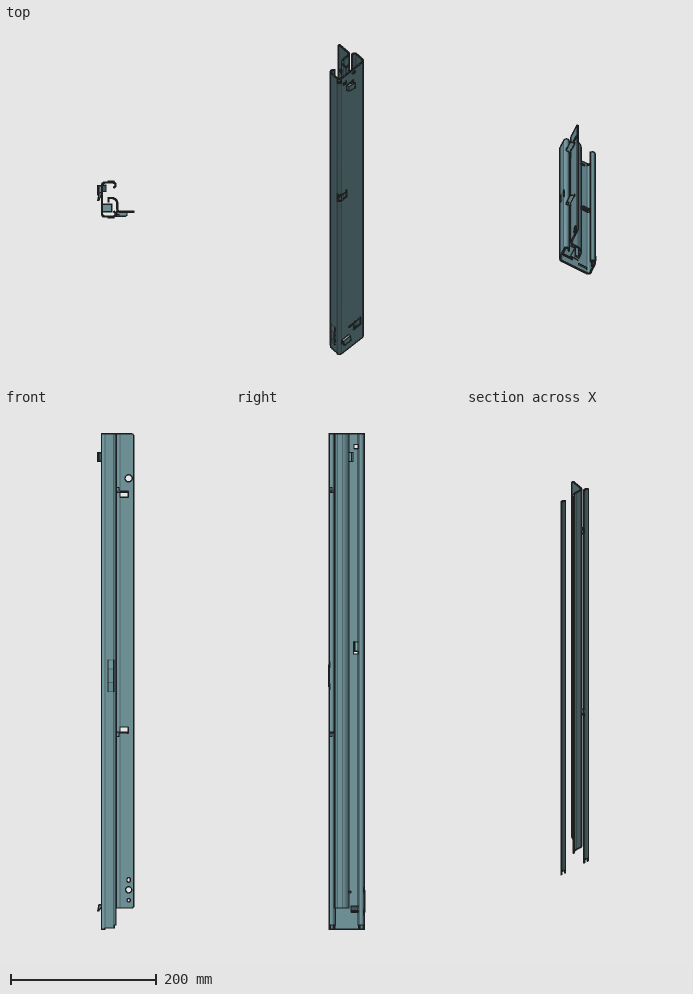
import cadquery as cq
import math

LENGTH = 680.0
SHEET = 1.7
EMBOSS = 1.0
TOTAL_DEPTH = 50.0
TOTAL_WIDTH = 49.5

HALF_DEPTH = TOTAL_DEPTH / 2 - EMBOSS
BEND = 5.0
LIP_BEND = 4.0
LIP_EDGE = 20.5
LIP_TURN = 135
LIP_LENGTH = 2.0
FLANGE_SETBACK = 2.0
LIP_STEP = 3.0
LIP_SETBACK = 6.0

BRIDGE_X = (9.0, 17.0)
BRIDGE_LENGTH = 43.5
BRIDGE_FLAT = 18.5
FRONT_BRIDGE_Z = 348.0
BACK_BRIDGE_Z = 39.0

HOOK_REACH = 5.1
UPPER_HOOK_Y = (-3.05, 10.0)
UPPER_HOOK_Z = (642.0, 654.0)
LOWER_HOOK_Y = (6.0, 19.0)
LOWER_HOOK_Z = (24.0, 34.0)

STOP_REACH = 14.0
STOP_Y = (-17.0, -6.0)
STOP_WINDOW_Y = (-17.0, -3.5)
STOP_WINDOW_Z = (36.0, 52.5)
STOP_SLIT_Y = (-3.5, 5.5)
STOP_SLIT_HEIGHT = 2.0
FLAP_REACH = 6.45
FLAP_DROP = 13.0
FLAP_Y = (11.0, 20.0)
FLAP_WINDOW_Y = (9.5, 24.5)
FLAP_WINDOW_Z = (378.0, 394.5)

WEB_HOLE = (-4.0, 672.0)
WEB_HOLE_DIAMETER = 5.5
SQUARE_HOLE = (13.0, 662.0)
SQUARE_HOLE_SIZE = 5.5
CORNER_SLOT_DEPTH = 5.0
CORNER_SLOT_Z = (670.0, 675.0)

BRACKET_BOTTOM = 29.0
WALL_X = 21.0
PLATE_Y = -18.0
PLATE_EDGE = TOTAL_WIDTH - HOOK_REACH
PLATE_CORNER = 3.5
RAIL_TOP = 3.05
RAIL_BEND = 9.0
RAIL_TIP_X = 9.0
RAIL_LEG = 6.0

HOLE_X = 37.5
LARGE_HOLES = ((619.0, 9.5), (54.5, 8.0))
SMALL_HOLE = (40.0, 4.4)
SLOT_Z = 68.0
SLOT_LENGTH = 6.45
SLOT_WIDTH = 4.0

OPENING_EDGE = 37.0
OPENING_HEIGHT = 8.0
UPPER_TAB_Z = 601.0
LOWER_TAB_Z = 269.0
TAB_X = (21.0, 35.5)
TAB_EDGE_Y = -23.0
TAB_CORNER = 2.0
EAR_HEIGHT = 5.0
EAR_WIDTH = 3.5
EAR_DEPTH = 3.0


def block(x_range, y_range, z_range):
    """Box between two limits along each axis."""
    limits = (x_range, y_range, z_range)
    sizes = [high - low for low, high in limits]
    return cq.Workplane().box(*sizes, centered=False).translate(tuple(low for low, high in limits))


def web_cut(y_range, z_range):
    """Cutter for a rectangular window through the web only."""
    return block((-SHEET, 2 * SHEET), y_range, z_range)


def half_channel():
    """The +Y half of the channel section, from the middle of the web to the lip."""
    inner_bend = BEND - SHEET
    inner_lip = LIP_BEND - SHEET
    roll_x = LIP_EDGE - LIP_BEND
    roll_y = HALF_DEPTH - LIP_BEND
    diagonal = math.sqrt(0.5)
    run_angle = math.radians(-LIP_TURN)
    run_x = LIP_LENGTH * math.cos(run_angle)
    run_y = LIP_LENGTH * math.sin(run_angle)

    def on_roll(radius, turn):
        angle = math.radians(90 - turn)
        return (roll_x + radius * math.cos(angle), roll_y + radius * math.sin(angle))

    outer_end = on_roll(LIP_BEND, LIP_TURN)
    inner_end = on_roll(inner_lip, LIP_TURN)
    return (
        cq.Workplane()
        .moveTo(0, 0)
        .lineTo(0, HALF_DEPTH - BEND)
        .threePointArc(
            (BEND * (1 - diagonal), HALF_DEPTH - BEND * (1 - diagonal)), (BEND, HALF_DEPTH)
        )
        .lineTo(roll_x, HALF_DEPTH)
        .threePointArc(on_roll(LIP_BEND, LIP_TURN / 2), outer_end)
        .lineTo(outer_end[0] + run_x, outer_end[1] + run_y)
        .lineTo(inner_end[0] + run_x, inner_end[1] + run_y)
        .lineTo(*inner_end)
        .threePointArc(on_roll(inner_lip, LIP_TURN / 2), (roll_x, HALF_DEPTH - SHEET))
        .lineTo(BEND, HALF_DEPTH - SHEET)
        .threePointArc(
            (BEND - inner_bend * diagonal, HALF_DEPTH - BEND + inner_bend * diagonal),
            (SHEET, HALF_DEPTH - BEND),
        )
        .lineTo(SHEET, 0)
        .close()
        .extrude(LENGTH)
    )


def bridge_prism(base_y):
    """Trapezoid in the YZ plane, rising from base_y by the emboss height, centred on Z = 0."""
    return (
        cq.Workplane("YZ", origin=(BRIDGE_X[0], 0, 0))
        .polyline(
            [
                (base_y, -BRIDGE_LENGTH / 2),
                (base_y + EMBOSS, -BRIDGE_FLAT / 2),
                (base_y + EMBOSS, BRIDGE_FLAT / 2),
                (base_y, BRIDGE_LENGTH / 2),
            ]
        )
        .close()
        .extrude(BRIDGE_X[1] - BRIDGE_X[0])
    )


def add_bridge(channel, center_z, back):
    """Press one strip of a flange outward, keeping the sheet thickness."""
    raised = bridge_prism(HALF_DEPTH)
    hollow = bridge_prism(HALF_DEPTH - SHEET)
    if not back:
        raised = raised.mirror("XZ")
        hollow = hollow.mirror("XZ")
    offset = (0, 0, center_z)
    return channel.union(raised.translate(offset)).cut(hollow.translate(offset))


def upper_hook():
    """Strip that slopes out of the web toward -Y and ends free."""
    root = UPPER_HOOK_Y[1]
    tip = UPPER_HOOK_Y[0] + SHEET
    return (
        cq.Workplane("XY", origin=(0, 0, UPPER_HOOK_Z[0]))
        .polyline(
            [
                (SHEET, root),
                (0, root),
                (SHEET - HOOK_REACH, root - SHEET),
                (-HOOK_REACH, tip),
                (SHEET - HOOK_REACH, tip),
                (0, root - 2 * SHEET),
                (SHEET, root - SHEET),
            ]
        )
        .close()
        .extrude(UPPER_HOOK_Z[1] - UPPER_HOOK_Z[0])
    )


def lower_hook():
    """Strip that leaves the web at its upper end and slopes out and down to a free tip."""
    bottom, top = LOWER_HOOK_Z
    tip = bottom + SHEET
    return (
        cq.Workplane("XZ", origin=(0, LOWER_HOOK_Y[1], 0))
        .polyline(
            [
                (SHEET, top),
                (SHEET - HOOK_REACH, top),
                (-HOOK_REACH, tip),
                (SHEET - HOOK_REACH, tip),
                (0, top - 2 * SHEET),
                (SHEET, top - SHEET),
            ]
        )
        .close()
        .extrude(LOWER_HOOK_Y[1] - LOWER_HOOK_Y[0])
    )


def flap():
    """Sloping strip that leaves the web at the top of its window and points in and down."""
    top = FLAP_WINDOW_Z[1]
    return (
        cq.Workplane("XZ", origin=(0, FLAP_Y[1], 0))
        .polyline(
            [
                (0, top),
                (SHEET, top),
                (FLAP_REACH, top - FLAP_DROP),
                (FLAP_REACH - SHEET, top - FLAP_DROP),
                (0, top - SHEET),
            ]
        )
        .close()
        .extrude(FLAP_Y[1] - FLAP_Y[0])
    )


def make_channel():
    half = half_channel()
    channel = half.union(half.mirror("XZ"))

    full_depth = (-HALF_DEPTH, HALF_DEPTH)
    lip_x = (LIP_EDGE - LIP_STEP, LIP_EDGE)
    channel = channel.cut(block((BEND, LIP_EDGE), full_depth, (0, FLANGE_SETBACK)))
    channel = channel.cut(block(lip_x, full_depth, (0, LIP_SETBACK)))

    channel = add_bridge(channel, FRONT_BRIDGE_Z, back=False)
    channel = add_bridge(channel, BACK_BRIDGE_Z, back=True)

    channel = channel.cut(web_cut(UPPER_HOOK_Y, UPPER_HOOK_Z)).union(upper_hook())
    channel = channel.cut(web_cut(LOWER_HOOK_Y, LOWER_HOOK_Z)).union(lower_hook())

    stop_z = (STOP_WINDOW_Z[1], STOP_WINDOW_Z[1] + SHEET)
    stop = block((0, STOP_REACH), STOP_Y, stop_z)
    channel = channel.cut(web_cut(STOP_WINDOW_Y, STOP_WINDOW_Z)).union(stop)
    slit_z = (STOP_WINDOW_Z[1] - STOP_SLIT_HEIGHT, STOP_WINDOW_Z[1])
    channel = channel.cut(web_cut(STOP_SLIT_Y, slit_z))
    flap_window = block((-SHEET, BEND), FLAP_WINDOW_Y, FLAP_WINDOW_Z)
    channel = channel.cut(flap_window).union(flap())

    round_hole = (
        cq.Workplane("YZ", origin=(-SHEET, 0, 0))
        .center(*WEB_HOLE)
        .circle(WEB_HOLE_DIAMETER / 2)
        .extrude(3 * SHEET)
    )
    square_hole = (
        cq.Workplane("YZ", origin=(-SHEET, 0, 0))
        .center(*SQUARE_HOLE)
        .rect(SQUARE_HOLE_SIZE, SQUARE_HOLE_SIZE)
        .extrude(3 * SHEET)
    )
    corner_slot = block((0, BEND), (HALF_DEPTH - CORNER_SLOT_DEPTH, HALF_DEPTH), CORNER_SLOT_Z)
    return channel.cut(round_hole).cut(square_hole).cut(corner_slot)


def bracket_profile():
    """Flat plate, wall and rolled rail in one bent strip."""
    wall_right = WALL_X + SHEET
    plate_top = PLATE_Y + SHEET
    inner_bend = BEND - SHEET
    inner_rail = RAIL_BEND - SHEET
    diagonal = math.sqrt(0.5)
    rail_x = wall_right - RAIL_BEND
    rail_y = RAIL_TOP - RAIL_BEND
    bend_x = WALL_X + BEND
    bend_y = PLATE_Y + BEND
    return (
        cq.Workplane("XY", origin=(0, 0, BRACKET_BOTTOM))
        .moveTo(PLATE_EDGE, PLATE_Y)
        .lineTo(PLATE_EDGE, plate_top)
        .lineTo(bend_x, plate_top)
        .threePointArc(
            (bend_x - inner_bend * diagonal, bend_y - inner_bend * diagonal), (wall_right, bend_y)
        )
        .lineTo(wall_right, rail_y)
        .threePointArc(
            (rail_x + RAIL_BEND * diagonal, rail_y + RAIL_BEND * diagonal), (rail_x, RAIL_TOP)
        )
        .lineTo(RAIL_TIP_X, RAIL_TOP)
        .lineTo(RAIL_TIP_X, RAIL_TOP - RAIL_LEG)
        .lineTo(RAIL_TIP_X + SHEET, RAIL_TOP - RAIL_LEG)
        .lineTo(RAIL_TIP_X + SHEET, RAIL_TOP - SHEET)
        .lineTo(rail_x, RAIL_TOP - SHEET)
        .threePointArc(
            (rail_x + inner_rail * diagonal, rail_y + inner_rail * diagonal), (WALL_X, rail_y)
        )
        .lineTo(WALL_X, bend_y)
        .threePointArc((bend_x - BEND * diagonal, bend_y - BEND * diagonal), (bend_x, PLATE_Y))
        .close()
        .extrude(LENGTH - BRACKET_BOTTOM)
    )


def locking_tab(outer_z, up):
    """Tab standing toward -Y with an ear on its outer face; up is +1 or -1 along Z."""
    tab_z = sorted((outer_z, outer_z - up * SHEET))
    ear_z = sorted((outer_z, outer_z + up * EAR_HEIGHT))
    tab = block(TAB_X, (TAB_EDGE_Y, PLATE_Y + SHEET), tab_z)
    tab = tab.edges("|Z and >X and <Y").chamfer(TAB_CORNER)
    ear = block((TAB_X[0], TAB_X[0] + EAR_WIDTH), (TAB_EDGE_Y, TAB_EDGE_Y + EAR_DEPTH), ear_z)
    return tab.union(ear)


def make_bracket():
    bracket = bracket_profile()
    plate_y = (PLATE_Y, PLATE_Y + SHEET)

    bracket = bracket.edges("|Y and >X").fillet(PLATE_CORNER)

    face = cq.Workplane("XZ", origin=(HOLE_X, plate_y[1], 0))
    for z, diameter in (*LARGE_HOLES, SMALL_HOLE):
        bracket = bracket.cut(face.center(0, z).circle(diameter / 2).extrude(SHEET))
    bracket = bracket.cut(face.center(0, SLOT_Z).slot2D(SLOT_LENGTH, SLOT_WIDTH, 90).extrude(SHEET))

    for outer_z, up in ((UPPER_TAB_Z, 1), (LOWER_TAB_Z, -1)):
        opening_z = sorted((outer_z, outer_z - up * OPENING_HEIGHT))
        opening = block((WALL_X + BEND, OPENING_EDGE), plate_y, opening_z)
        bracket = bracket.cut(opening).union(locking_tab(outer_z, up))
    return bracket


channel = make_channel()
bracket = make_bracket()
result = cq.Compound.makeCompound([channel.val(), bracket.val()])